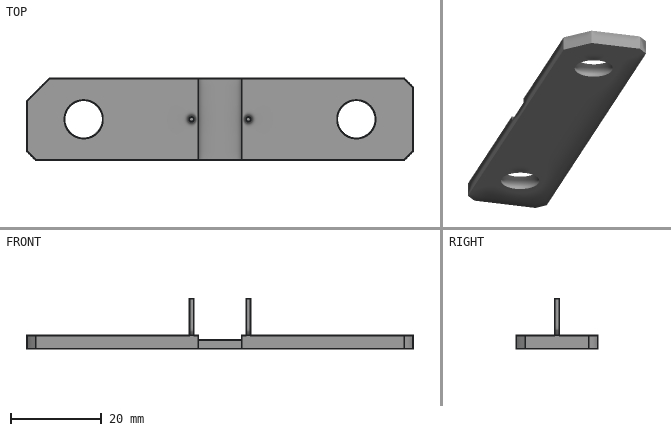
import cadquery as cq

total_length = 85.0
width = 18.0
plate_thickness = 3.0
total_height = 11.07

bridge_length = 9.5
bridge_thickness = 2.0

corner_cut = 2.0
marker_corner_cut = 5.0
hole_diameter = 8.4
hole_center_from_end = 12.5

pin_diameter = 1.02
pin_spacing = 12.5

half_length = total_length / 2
half_width = width / 2
half_bridge = bridge_length / 2
pin_length = total_height - plate_thickness
hole_x = half_length - hole_center_from_end


def make_terminal_plate(side, back_corner_cut):
    """Plate on one side of the bridge (side is -1 or +1 along X), with its outer corners cut."""
    inner_x = side * half_bridge
    outer_x = side * half_length
    outline = [
        (inner_x, -half_width),
        (outer_x - side * corner_cut, -half_width),
        (outer_x, -half_width + corner_cut),
        (outer_x, half_width - back_corner_cut),
        (outer_x - side * back_corner_cut, half_width),
        (inner_x, half_width),
    ]
    plate = cq.Workplane("XY").polyline(outline).close().extrude(plate_thickness)
    hole = (
        cq.Workplane("XY")
        .center(side * hole_x, 0)
        .circle(hole_diameter / 2)
        .extrude(plate_thickness)
    )
    return plate.cut(hole)


def make_bridge():
    """Thinner strip joining the plates, flush with their undersides."""
    return cq.Workplane("XY").box(
        bridge_length, width, bridge_thickness, centered=(True, True, False)
    )


def make_pin(side):
    """Round pin standing on the top face of a plate, beside the bridge."""
    return (
        cq.Workplane("XY", origin=(side * pin_spacing / 2, 0, plate_thickness))
        .circle(pin_diameter / 2)
        .extrude(pin_length)
    )


left_plate = make_terminal_plate(-1, marker_corner_cut)
right_plate = make_terminal_plate(1, corner_cut)
bridge = make_bridge()
pins = [make_pin(side) for side in (-1, 1)]

result = cq.Compound.makeCompound(
    [left_plate.val(), right_plate.val(), bridge.val(), *[pin.val() for pin in pins]]
)